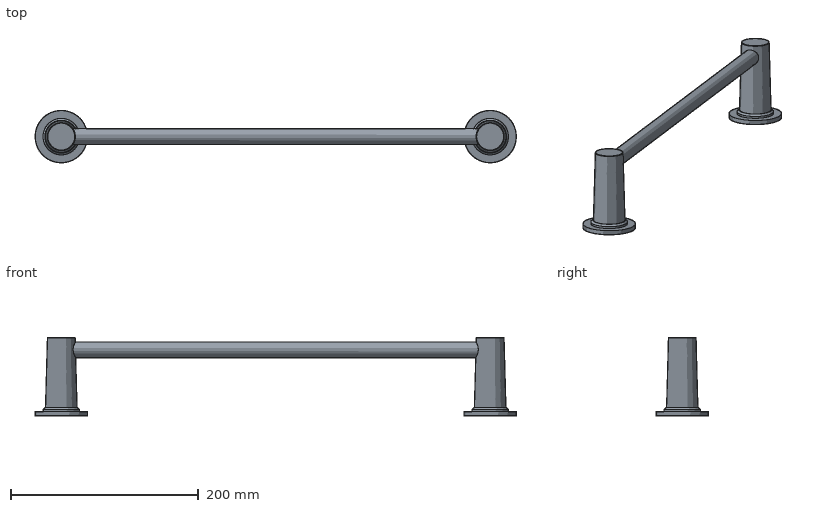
import cadquery as cq

overall_length = 513.0
flange_diameter = 56.0
post_height = 83.5

flange_thickness = 4.5
collar_radius = 19.5
stem_base_radius = 17.0
collar_height = 4.0
collar_chamfer = 2.0
post_top_radius = 15.0
top_chamfer = 0.5

bar_diameter = 17.0
bar_height = 70.5

flange_radius = flange_diameter / 2
post_offset = overall_length / 2 - flange_radius
collar_top = flange_thickness + collar_height


def make_post(x):
    """Turned post with a wall flange, a chamfered collar and a tapered stem."""
    profile = (
        cq.Workplane("XZ")
        .lineTo(flange_radius, 0)
        .lineTo(flange_radius, flange_thickness)
        .lineTo(collar_radius, flange_thickness)
        .lineTo(collar_radius, collar_top - collar_chamfer)
        .lineTo(collar_radius - collar_chamfer, collar_top)
        .lineTo(stem_base_radius, collar_top)
        .lineTo(post_top_radius, post_height - top_chamfer)
        .lineTo(post_top_radius - top_chamfer, post_height)
        .lineTo(0, post_height)
        .close()
    )
    post = profile.revolve(360, (0, 0, 0), (0, 1, 0))
    return post.translate((x, 0, 0))


def make_bar(end_posts):
    """Round bar between the post axes, coped to the surfaces of the posts."""
    bar = (
        cq.Workplane("YZ", origin=(-post_offset, 0, bar_height))
        .circle(bar_diameter / 2)
        .extrude(2 * post_offset)
    )
    for post in end_posts:
        bar = bar.cut(post)
    return bar


posts = [make_post(side * post_offset) for side in (-1, 1)]
bar = make_bar(posts)

result = cq.Compound.makeCompound([*[post.val() for post in posts], *bar.vals()])